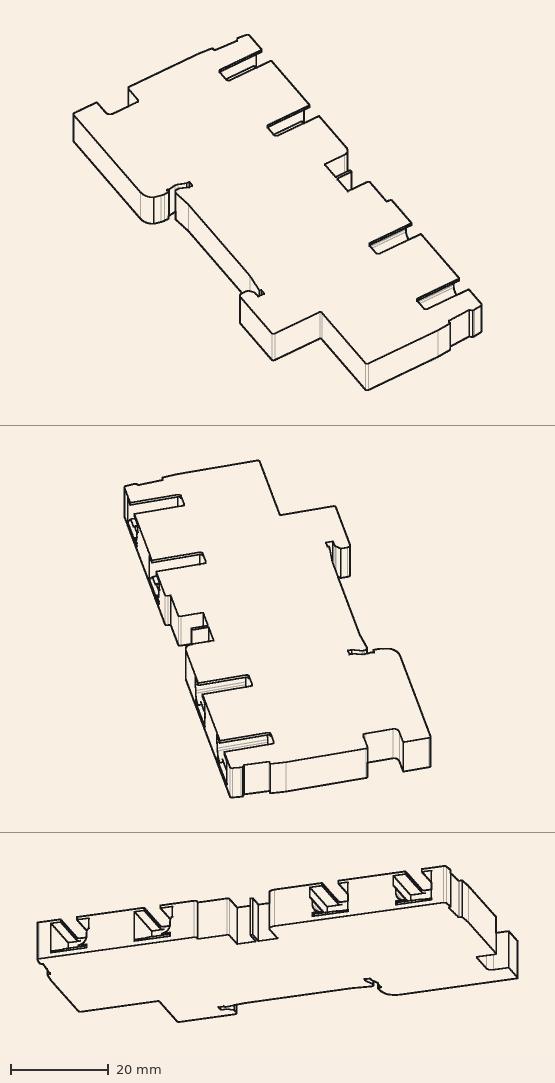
import cadquery as cq
import math

LENGTH = 90.4
HEIGHT = 42.0
THICKNESS = 8.1
RIGHT = LENGTH / 2
LEFT = -RIGHT

SHOULDER_HALF = 44.9
TAPER_Y = 30.65
SHOULDER_Y = 33.8
NECK_BASE_HALF = 44.2
NECK_RADIUS = 0.2
NECK_TOP_HALF = 43.9
NECK_TOP_Y = 39.05
BEAD_HALF = 44.5
BEAD_LOW_Y = 39.5
BEAD_HIGH_Y = 39.9
TOP_HALF = 44.2
EDGE_RADIUS = 0.45

RECESS_LEFT = -5.7
RECESS_RIGHT = 3.1
RECESS_FLOOR_Y = 35.8
RECESS_ROUND = 1.45
STEP_RIGHT = 9.8
STEP_Y = 40.95
PIN_X = -1.3
PIN_WIDTH = 0.5
PIN_TOP_Y = 39.3

BODY_FLOOR_Y = 13.3
NOTCH_DEPTH = 4.4
LEFT_FOOT_TOP_Y = 5.9
LEFT_FOOT_RIGHT = LEFT + 28.75
LEFT_FOOT_ROUND = 3.2
TOE_X = LEFT + 27.3
TOE_BREAK_X = LEFT + 28.3
TOE_BREAK_Y = 1.5
TOE_SIDE_TOP_Y = 3.3
TOE_TOP_Y = 4.9
NOTCH_TOP_RADIUS = 0.45
NOTCH_LOW_RADIUS = 1.1
RIGHT_FOOT_LEFT = LEFT + 60.2
RIGHT_FOOT_RIGHT = LEFT + 73.1
RIGHT_FOOT_Y = 1.6
SEAT_Y = 6.4
SEAT_END_Y = 5.9
SEAT_LEFT = LEFT + 33.8
SEAT_RIGHT = LEFT + 56.95

SLIT_BARB_X = LEFT + 28.1
SLIT_BARB_Y = 5.4
SLIT_BARB_BASE_X = LEFT + 27.9
SLIT_BEND_X = LEFT + 27.8
SLIT_BEND_Y = 7.2
SLIT_BEND_RADIUS = 1.4
SLIT_END_LEFT = LEFT + 28.7
SLIT_END_RIGHT = LEFT + 29.8
SLIT_LEFT_SHOULDER_Y = 9.3
SLIT_RIGHT_SHOULDER_Y = 9.1
SLIT_END_Y = 9.9
SEAT_TIP_X = LEFT + 29.0
SEAT_TIP_Y = 7.1
SEAT_TIP_RADIUS = 0.7

GAP_LIP_X = LEFT + 61.4
GAP_LEFT = LEFT + 61.6
GAP_RIGHT = LEFT + 62.7
GAP_TOP_Y = 6.2
GAP_BOTTOM_Y = 4.8
HOOK_CREST_X = LEFT + 61.3
HOOK_CREST_Y = 4.7
HOOK_NOSE_Y = 3.8
HOOK_ROUND = 0.7
INNER_RADIUS = 0.3

SLOT_OFFSETS = (19.3, 37.3)
SLOT_WIDTH = 3.5
SLOT_END_Y = 31.5
SLOT_CORNER = 0.5
SLOT_DEPTH = 6.3
LIP_THICKNESS = 0.6
UNDERCUT = 2.1
CLAMP_RECESS = 2.6
BUMP_START_DEPTH = 2.8
BUMP_END_DEPTH = 3.8
BUMP_RADIUS = 1.4
CAVITY_RADIUS = 1.8
FLOOR_LEDGE = 0.4
RELIEF_DEPTH = 0.2
LEAD_IN = 0.8


def rounded_profile(corners):
    """Closed outline through (x, y, radius) corners, each rounded by a tangent arc."""
    pieces = []
    for i, (x, y, radius) in enumerate(corners):
        corner = cq.Vector(x, y)
        before = cq.Vector(*corners[i - 1][:2])
        after = cq.Vector(*corners[(i + 1) % len(corners)][:2])
        to_before = (before - corner).normalized()
        to_after = (after - corner).normalized()
        half_angle = to_before.getAngle(to_after) / 2
        setback = radius / math.tan(half_angle)
        to_center = (to_before + to_after).normalized()
        apex = corner + to_center * (radius / math.sin(half_angle) - radius)
        pieces.append((corner + to_before * setback, apex, corner + to_after * setback, radius))

    outline = cq.Workplane("XY").moveTo(*pieces[0][2].toTuple()[:2])
    for start, apex, end, radius in pieces[1:] + pieces[:1]:
        outline = outline.lineTo(start.x, start.y)
        if radius > 0:
            outline = outline.threePointArc((apex.x, apex.y), (end.x, end.y))
    return outline.close()


def upper_side():
    """Corners of the right upper side, from the full-width body up to the top edge."""
    return [
        (SHOULDER_HALF, SHOULDER_Y, 0),
        (NECK_BASE_HALF, SHOULDER_Y, NECK_RADIUS),
        (NECK_TOP_HALF, NECK_TOP_Y, 0),
        (BEAD_HALF, BEAD_LOW_Y, 0),
        (BEAD_HALF, BEAD_HIGH_Y, 0),
        (TOP_HALF, HEIGHT, EDGE_RADIUS),
    ]


def top_recess():
    """Corners of the recess and its pin, from right to left."""
    pin_left = PIN_X - PIN_WIDTH / 2
    pin_right = PIN_X + PIN_WIDTH / 2
    return [
        (STEP_RIGHT, HEIGHT, EDGE_RADIUS),
        (STEP_RIGHT, STEP_Y, 0),
        (RECESS_RIGHT, STEP_Y, EDGE_RADIUS),
        (RECESS_RIGHT, RECESS_FLOOR_Y, 0),
        (pin_right, RECESS_FLOOR_Y, 0),
        (pin_right, PIN_TOP_Y, 0),
        (pin_left, PIN_TOP_Y, 0),
        (pin_left, RECESS_FLOOR_Y, 0),
        (RECESS_LEFT, RECESS_FLOOR_Y, 0),
        (RECESS_LEFT, HEIGHT, RECESS_ROUND),
    ]


def left_foot():
    """Corners of the left foot with the notch above it, from left to right."""
    return [
        (LEFT, BODY_FLOOR_Y, EDGE_RADIUS),
        (LEFT + NOTCH_DEPTH, BODY_FLOOR_Y, NOTCH_TOP_RADIUS),
        (LEFT + NOTCH_DEPTH, LEFT_FOOT_TOP_Y, NOTCH_LOW_RADIUS),
        (LEFT, LEFT_FOOT_TOP_Y, 0),
        (LEFT, 0, EDGE_RADIUS),
        (TOE_X, 0, LEFT_FOOT_ROUND),
        (TOE_BREAK_X, TOE_BREAK_Y, 0),
        (LEFT_FOOT_RIGHT, TOE_SIDE_TOP_Y, LEFT_FOOT_ROUND),
        (LEFT_FOOT_RIGHT, TOE_TOP_Y, 0),
    ]


def rail_seat():
    """Corners of the spring slit, the rail seat and the hook gap, from left to right."""
    return [
        (SLIT_BARB_BASE_X, TOE_TOP_Y, 0),
        (SLIT_BARB_X, SLIT_BARB_Y, 0),
        (SLIT_BEND_X, SLIT_BEND_Y, SLIT_BEND_RADIUS),
        (SLIT_END_LEFT, SLIT_LEFT_SHOULDER_Y, 0),
        (SLIT_END_LEFT, SLIT_END_Y, 0),
        (SLIT_END_RIGHT, SLIT_END_Y, 0),
        (SLIT_END_RIGHT, SLIT_RIGHT_SHOULDER_Y, 0),
        (SEAT_TIP_X, SEAT_TIP_Y, EDGE_RADIUS),
        (SEAT_TIP_X, SEAT_END_Y, SEAT_TIP_RADIUS),
        (SEAT_LEFT, SEAT_Y, 0),
        (SEAT_RIGHT, SEAT_Y, 0),
        (GAP_LIP_X, SEAT_END_Y, 0),
        (GAP_LEFT, GAP_TOP_Y, 0),
        (GAP_RIGHT, GAP_TOP_Y, 0),
        (GAP_RIGHT, GAP_BOTTOM_Y, 0),
    ]


def right_foot():
    """Corners of the hooked right foot and the housing beside it, from left to right."""
    return [
        (HOOK_CREST_X, HOOK_CREST_Y, HOOK_ROUND),
        (RIGHT_FOOT_LEFT, HOOK_NOSE_Y, 0),
        (RIGHT_FOOT_LEFT, RIGHT_FOOT_Y, HOOK_ROUND),
        (RIGHT_FOOT_RIGHT, RIGHT_FOOT_Y, EDGE_RADIUS),
        (RIGHT_FOOT_RIGHT, BODY_FLOOR_Y, INNER_RADIUS),
        (RIGHT, BODY_FLOOR_Y, EDGE_RADIUS),
        (RIGHT, TAPER_Y, 0),
    ]


def housing():
    right_side = upper_side()
    left_side = [(-x, y, radius) for x, y, radius in reversed(right_side)]
    corners = left_foot() + rail_seat() + right_foot() + right_side + top_recess() + left_side
    corners.append((LEFT, TAPER_Y, 0))
    return rounded_profile(corners).extrude(THICKNESS)


def slot_cavity(offset):
    """Undercut cavity: flat outer wall, bumped inner wall and a shallow relief strip in the floor."""
    top_z = THICKNESS - LIP_THICKNESS
    floor_z = THICKNESS - SLOT_DEPTH
    inner_x = offset - SLOT_WIDTH / 2 - UNDERCUT
    recess_x = offset - SLOT_WIDTH / 2 - CLAMP_RECESS
    outer_x = offset + SLOT_WIDTH / 2 + UNDERCUT
    relief_x = offset + SLOT_WIDTH / 2 - FLOOR_LEDGE
    bend_z = floor_z + CAVITY_RADIUS

    return (
        cq.Workplane("XZ", origin=(0, HEIGHT, 0))
        .moveTo(outer_x, top_z)
        .lineTo(recess_x, top_z)
        .lineTo(recess_x, THICKNESS - BUMP_START_DEPTH)
        .radiusArc((inner_x, THICKNESS - BUMP_END_DEPTH), BUMP_RADIUS)
        .lineTo(inner_x, bend_z)
        .radiusArc((inner_x + CAVITY_RADIUS, floor_z), -CAVITY_RADIUS)
        .lineTo(relief_x, floor_z)
        .lineTo(relief_x, floor_z - RELIEF_DEPTH)
        .lineTo(outer_x, floor_z - RELIEF_DEPTH)
        .close()
        .extrude(HEIGHT - SLOT_END_Y)
    )


def wire_slot(offset):
    """Cutter for a slot on the right of the axis: narrow mouth, undercut cavity, sloped entry."""
    run = HEIGHT - SLOT_END_Y
    floor_z = THICKNESS - SLOT_DEPTH
    mouth = (
        cq.Workplane("XY", origin=(offset, SLOT_END_Y + run / 2, floor_z))
        .rect(SLOT_WIDTH, run)
        .extrude(SLOT_DEPTH)
        .edges("|Z and <Y")
        .fillet(SLOT_CORNER)
    )
    entry = (
        cq.Workplane("YZ", origin=(offset, 0, 0))
        .moveTo(HEIGHT - LEAD_IN, floor_z)
        .lineTo(HEIGHT, floor_z)
        .lineTo(HEIGHT, floor_z - LEAD_IN)
        .close()
        .extrude(SLOT_WIDTH / 2 + UNDERCUT, both=True)
    )
    return mouth.union(slot_cavity(offset)).union(entry)


result = housing()
for slot_offset in SLOT_OFFSETS:
    slot = wire_slot(slot_offset)
    result = result.cut(slot).cut(slot.mirror("YZ"))